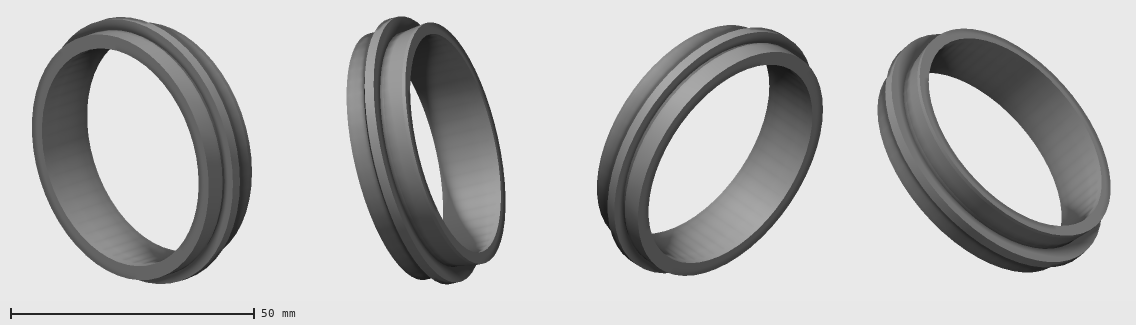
import cadquery as cq

flange_radius = 28.0
spigot_radius = 26.0
groove_radius = 25.5
neck_radius = 24.75
rim_radius = 25.4
bore_radius = 23.0

spigot_length = 4.0
groove_width = 1.0
flange_thickness = 2.0
neck_length = 0.8
taper_length = 4.4
rim_length = 0.8

groove_start = spigot_length
flange_start = groove_start + groove_width
neck_start = flange_start + flange_thickness
taper_start = neck_start + neck_length
rim_start = taper_start + taper_length
total_length = rim_start + rim_length

half_section = [
    (bore_radius, 0),
    (spigot_radius, 0),
    (spigot_radius, groove_start),
    (groove_radius, groove_start),
    (groove_radius, flange_start),
    (flange_radius, flange_start),
    (flange_radius, neck_start),
    (neck_radius, neck_start),
    (neck_radius, taper_start),
    (rim_radius, rim_start),
    (rim_radius, total_length),
    (bore_radius, total_length),
]

result = (
    cq.Workplane("XY")
    .polyline(half_section)
    .close()
    .revolve(360, (0, 0, 0), (0, 1, 0))
)